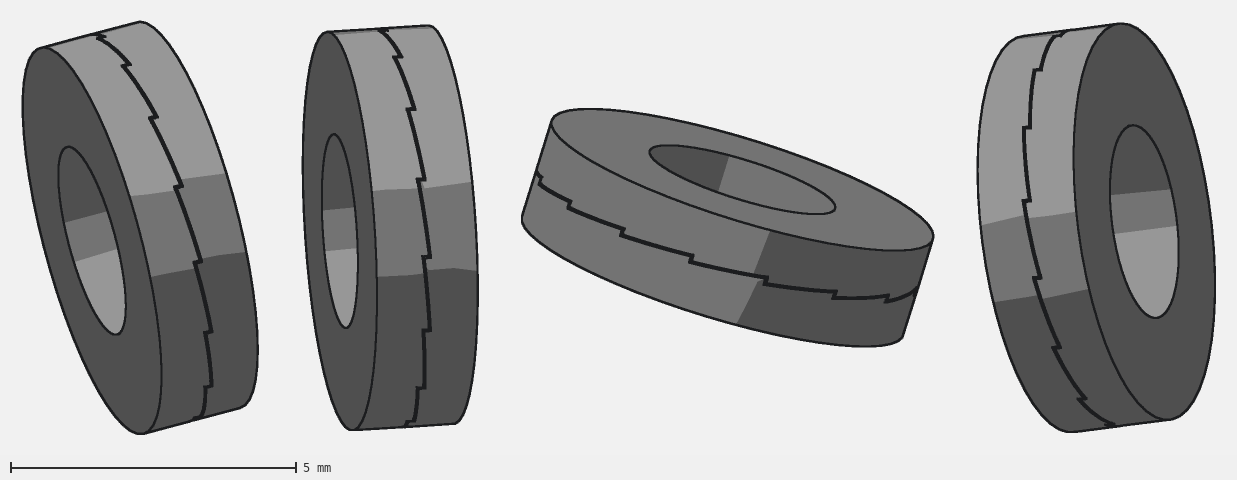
import cadquery as cq
import math

OUTER_DIAMETER = 7.0
BORE_DIAMETER = 3.4
THICKNESS = 1.8

TOOTH_COUNT = 16
GROOVE_BAND = 0.155
GROOVE_GAP = 0.0385
GROOVE_DEPTH = 0.25
CUTTER_OVERRUN = 0.14

outer_radius = OUTER_DIAMETER / 2
floor_radius = outer_radius - GROOVE_DEPTH
tooth_pitch = 360 / TOOTH_COUNT

cutter_inner_radius = floor_radius - CUTTER_OVERRUN
cutter_outer_radius = outer_radius + CUTTER_OVERRUN


def ring(outer, inner):
    """Ring of the washer's thickness around the Y axis."""
    return (
        cq.Workplane("XZ", origin=(0, THICKNESS / 2, 0))
        .circle(outer)
        .circle(inner)
        .extrude(THICKNESS)
    )


def tooth_outline(radius):
    """One ramp and one step of the groove, as (tangent, axial) points at a radius."""
    half_pitch = math.radians(tooth_pitch / 2)
    step_angle = GROOVE_GAP / outer_radius
    top = GROOVE_BAND / 2
    bottom = -top
    ramp_start = radius * math.tan(-half_pitch)
    lower_ramp_start = radius * math.tan(-half_pitch - step_angle)
    lower_ramp_end = radius * math.tan(half_pitch - step_angle)
    ramp_end = radius * math.tan(half_pitch)
    return [
        (lower_ramp_start, bottom),
        (lower_ramp_end, top - GROOVE_GAP),
        (lower_ramp_end, bottom + GROOVE_GAP),
        (ramp_end, bottom + GROOVE_GAP),
        (ramp_end, top),
        (ramp_start, bottom + GROOVE_GAP),
        (lower_ramp_start, bottom + GROOVE_GAP),
    ]


def tooth_cutter():
    """Radial cutter for one tooth, pointing along +Z and fanning out from the axis."""
    return (
        cq.Workplane("XY")
        .workplane(offset=cutter_inner_radius)
        .polyline(tooth_outline(cutter_inner_radius))
        .close()
        .workplane(offset=cutter_outer_radius - cutter_inner_radius)
        .polyline(tooth_outline(cutter_outer_radius))
        .close()
        .loft(ruled=True)
    )


rim = ring(outer_radius, floor_radius)
cutter = tooth_cutter()
for tooth in range(TOOTH_COUNT):
    rim = rim.cut(cutter.rotate((0, 0, 0), (0, 1, 0), tooth * tooth_pitch))

core = ring(floor_radius, BORE_DIAMETER / 2)
result = core.union(rim)